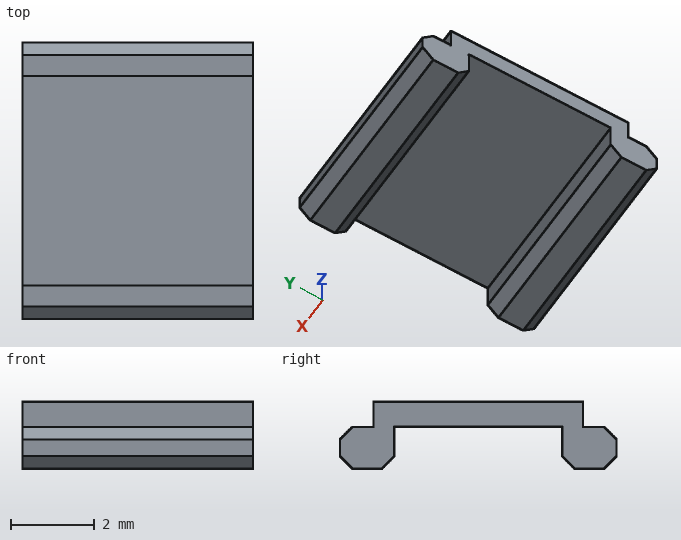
import cadquery as cq

length = 5.5
overall_width = 6.6
overall_height = 1.6

plate_width = 5.0
plate_thickness = 0.6
channel_width = 4.0
rail_chamfer = 0.3

rail_height = overall_height - plate_thickness
rail_width = (overall_width - channel_width) / 2
rail_offset = (channel_width + rail_width) / 2


def make_plate():
    """Flat plate resting on top of the rails."""
    plate = cq.Workplane("XY").box(length, plate_width, plate_thickness, centered=(True, True, False))
    return plate.translate((0, 0, rail_height))


def make_rail(side):
    """Rail along X on the +Y (side = 1) or -Y (side = -1) edge.

    Both bottom edges and the outer top edge are chamfered; the inner top
    edge stays square where it meets the plate.
    """
    rail = cq.Workplane("XY").box(length, rail_width, rail_height, centered=(True, True, False))
    rail = rail.faces("<Z").edges("|X").chamfer(rail_chamfer)
    outer_edge = ">Y" if side > 0 else "<Y"
    rail = rail.faces(">Z").edges(outer_edge).chamfer(rail_chamfer)
    return rail.translate((0, side * rail_offset, 0))


result = make_plate()
for side in (-1, 1):
    result = result.union(make_rail(side))
result = result.clean()